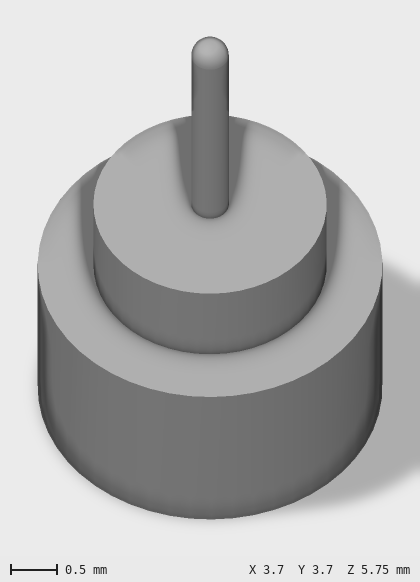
import cadquery as cq

total_height = 5.75
base_diameter = 3.7
base_height = 2.045
collar_diameter = 2.5
collar_height = 1.01
pin_diameter = 0.4

collar_top = base_height + collar_height
pin_radius = pin_diameter / 2
pin_length = total_height - collar_top


def cylinder(diameter, height, bottom):
    """Upright cylinder on the Z axis, starting at the given level."""
    return cq.Workplane("XY").workplane(offset=bottom).circle(diameter / 2).extrude(height)


def domed_pin():
    """Contact pin: a straight shank that ends in a hemisphere."""
    shank_length = pin_length - pin_radius
    shank = cylinder(pin_diameter, shank_length, collar_top)
    dome = cq.Workplane("XY").sphere(pin_radius).translate((0, 0, collar_top + shank_length))
    return shank.union(dome)


base = cylinder(base_diameter, base_height, 0)
collar = cylinder(collar_diameter, collar_height, base_height)

result = base.union(collar).union(domed_pin())